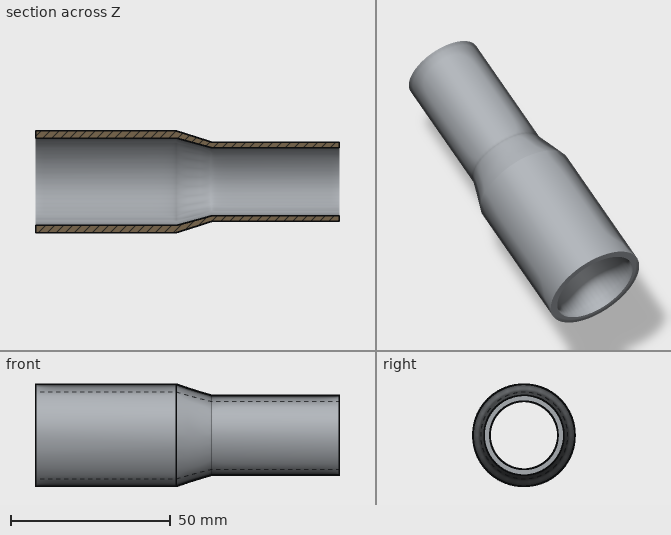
import cadquery as cq

large_diameter = 32.0
large_wall = 2.4
small_diameter = 25.0
small_wall = 1.9

total_length = 95.0
large_length = 44.0
small_length = 40.0

cone_start = large_length
cone_end = total_length - small_length


def revolved_body(large_radius, small_radius):
    """Solid of revolution about X: large cylinder, cone, small cylinder."""
    profile = (
        cq.Workplane("XY")
        .moveTo(0, 0)
        .lineTo(0, large_radius)
        .lineTo(cone_start, large_radius)
        .lineTo(cone_end, small_radius)
        .lineTo(total_length, small_radius)
        .lineTo(total_length, 0)
        .close()
    )
    return profile.revolve(360, (0, 0, 0), (1, 0, 0))


outer_body = revolved_body(large_diameter / 2, small_diameter / 2)
bore = revolved_body(large_diameter / 2 - large_wall, small_diameter / 2 - small_wall)

result = outer_body.cut(bore)